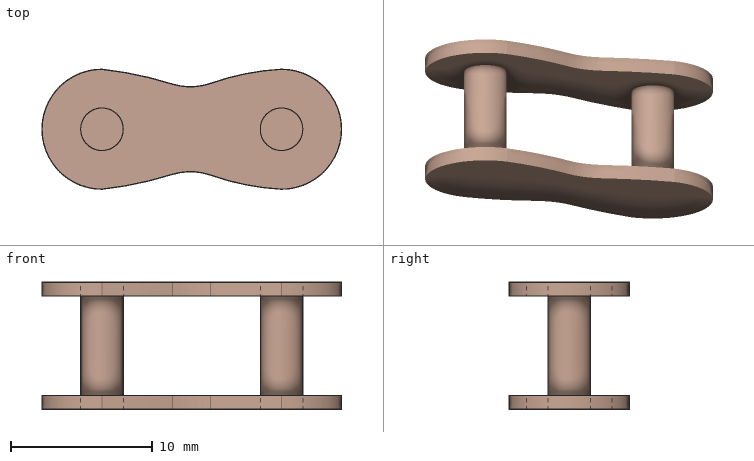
import cadquery as cq

length = 21.2
width = 8.5
height = 9.0
plate_thickness = 1.0
pin_diameter = 3.0

lobe_radius = width / 2
pin_x = length / 2 - lobe_radius
waist_x = -0.06
waist_half_width = 3.0
waist_left_x = -1.38
waist_left_half_width = 3.2
waist_right_x = 1.31
waist_right_half_width = 3.25
left_flank_bulge = 0.13
right_flank_bulge = 0.2


def flank_middle(lobe_x, waist_end_x, waist_end_half_width, bulge):
    """Middle point of a flank on the +Y side, raised above its chord."""
    return (lobe_x + waist_end_x) / 2, (lobe_radius + waist_end_half_width) / 2 + bulge


def mirrored(point):
    """Matching point on the -Y side of the plate."""
    return point[0], -point[1]


def make_plate(bottom_z):
    """Link plate with two through holes for the pins."""
    left_lobe = (-pin_x, lobe_radius)
    left_flank = flank_middle(-pin_x, waist_left_x, waist_left_half_width, left_flank_bulge)
    waist_left = (waist_left_x, waist_left_half_width)
    waist = (waist_x, waist_half_width)
    waist_right = (waist_right_x, waist_right_half_width)
    right_flank = flank_middle(pin_x, waist_right_x, waist_right_half_width, right_flank_bulge)
    right_lobe = (pin_x, lobe_radius)

    outline = (
        cq.Workplane("XY", origin=(0, 0, bottom_z))
        .moveTo(*left_lobe)
        .threePointArc(left_flank, waist_left)
        .threePointArc(waist, waist_right)
        .threePointArc(right_flank, right_lobe)
        .threePointArc((length / 2, 0), mirrored(right_lobe))
        .threePointArc(mirrored(right_flank), mirrored(waist_right))
        .threePointArc(mirrored(waist), mirrored(waist_left))
        .threePointArc(mirrored(left_flank), mirrored(left_lobe))
        .threePointArc((-length / 2, 0), left_lobe)
        .close()
    )
    holes = (
        cq.Workplane("XY", origin=(0, 0, bottom_z))
        .pushPoints([(-pin_x, 0), (pin_x, 0)])
        .circle(pin_diameter / 2)
        .extrude(plate_thickness)
    )
    return outline.extrude(plate_thickness).cut(holes)


def make_pin(x):
    """Round pin, flush with the outer faces of both plates."""
    return (
        cq.Workplane("XY", origin=(x, 0, -height / 2))
        .circle(pin_diameter / 2)
        .extrude(height)
    )


plates = [make_plate(bottom_z) for bottom_z in (-height / 2, height / 2 - plate_thickness)]
pins = [make_pin(x) for x in (-pin_x, pin_x)]

result = cq.Compound.makeCompound([body.val() for body in plates + pins])